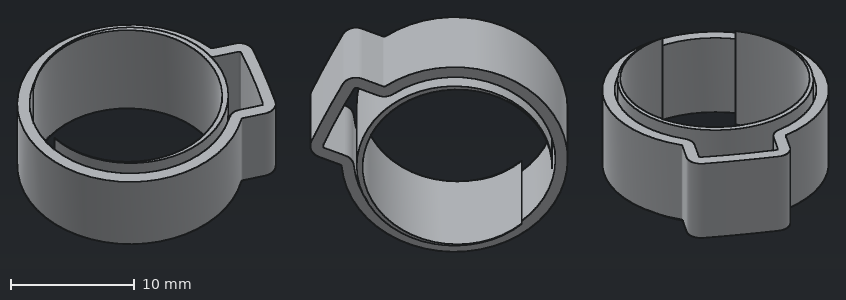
import cadquery as cq
import math

CLAMP_WIDTH = 7.0
CLAMP_OUTER_RADIUS = 9.15
STRIP_THICKNESS = 1.0
EAR_OUTER_HALF_WIDTH = 4.25
EAR_TOP_Y = 11.34
EAR_CROWN_RISE = 0.1
TIGHT_BEND_RADIUS = 0.2

CLAMP_INNER_RADIUS = CLAMP_OUTER_RADIUS - STRIP_THICKNESS
EAR_INNER_HALF_WIDTH = EAR_OUTER_HALF_WIDTH - STRIP_THICKNESS
WIDE_BEND_RADIUS = TIGHT_BEND_RADIUS + STRIP_THICKNESS

INSERT_WIDTH = 8.8
INSERT_OUTER_RADIUS = 7.9
INSERT_SIDE_WALL = 0.25
INSERT_GAP_HALF_WIDTH = 3.0

INSERT_INNER_RADIUS = INSERT_OUTER_RADIUS - INSERT_SIDE_WALL
BORE_OFFSET = INSERT_SIDE_WALL


def centred_disc(radius, height):
    """Disc about the Z axis, centred on the XY plane."""
    return cq.Workplane("XY").circle(radius).extrude(height / 2, both=True)


def ear_shape(ring_radius, half_width, top_y, top_bend, foot_bend):
    """Disc with a crowned block on its +Y side, with rounded shoulders and feet."""
    shoulder_y = top_y - EAR_CROWN_RISE
    block = (
        cq.Workplane("XY")
        .moveTo(-half_width, 0)
        .lineTo(half_width, 0)
        .lineTo(half_width, shoulder_y)
        .threePointArc((0, top_y), (-half_width, shoulder_y))
        .close()
        .extrude(CLAMP_WIDTH / 2, both=True)
    )
    shape = centred_disc(ring_radius, CLAMP_WIDTH).union(block)

    foot_y = math.sqrt(ring_radius**2 - half_width**2)
    for corner_y, bend in ((shoulder_y, top_bend), (foot_y, foot_bend)):
        for corner_x in (-half_width, half_width):
            corner = cq.selectors.NearestToPointSelector((corner_x, corner_y, 0))
            shape = shape.edges("|Z").edges(corner).fillet(bend)
    return shape


def make_clamp():
    """Strip of constant thickness: the outer ear shape minus the inner one."""
    outside = ear_shape(
        CLAMP_OUTER_RADIUS, EAR_OUTER_HALF_WIDTH, EAR_TOP_Y, WIDE_BEND_RADIUS, TIGHT_BEND_RADIUS
    )
    inside = ear_shape(
        CLAMP_INNER_RADIUS,
        EAR_INNER_HALF_WIDTH,
        EAR_TOP_Y - STRIP_THICKNESS,
        TIGHT_BEND_RADIUS,
        WIDE_BEND_RADIUS,
    )
    return outside.cut(inside)


def make_insert():
    """Ring with an offset bore, cut open by a straight-sided gap at -Y."""
    bore = centred_disc(INSERT_INNER_RADIUS, INSERT_WIDTH).translate((0, -BORE_OFFSET, 0))
    gap = cq.Workplane("XY").box(
        2 * INSERT_GAP_HALF_WIDTH,
        INSERT_OUTER_RADIUS,
        INSERT_WIDTH,
    ).translate((0, -INSERT_OUTER_RADIUS, 0))
    return centred_disc(INSERT_OUTER_RADIUS, INSERT_WIDTH).cut(bore).cut(gap)


clamp = make_clamp()
insert = make_insert()

result = cq.Compound.makeCompound([clamp.solids().val(), insert.solids().val()])